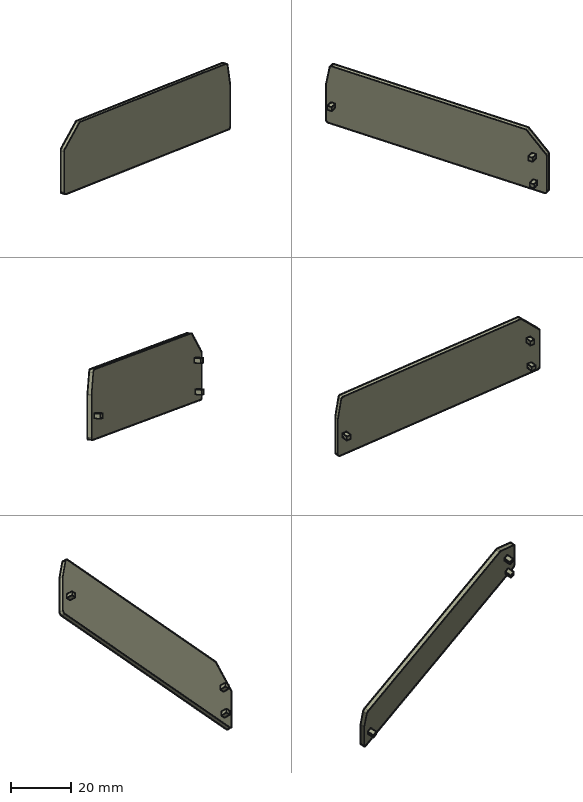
import cadquery as cq

overall_depth = 3.96
plate_thickness = 1.58
plate_length = 83.75
plate_height = 23.65
corner_radius = 1.0

front_chamfer = 7.8
back_taper_run = 1.5
back_taper_drop = 8.2

peg_side = 1.65
peg_length = overall_depth - plate_thickness
peg_centers = [
    (-37.0, 2.25),
    (-37.5, -8.45),
    (39.15, -3.8),
]

half_length = plate_length / 2
half_height = plate_height / 2
plate_face_x = overall_depth / 2 - plate_thickness


def make_plate():
    """Flat plate with two sloped upper corners and every corner rounded."""
    outline = [
        (-half_length, -half_height),
        (half_length, -half_height),
        (half_length, half_height - back_taper_drop),
        (half_length - back_taper_run, half_height),
        (-half_length + front_chamfer, half_height),
        (-half_length, half_height - front_chamfer),
    ]
    return (
        cq.Workplane("YZ", origin=(plate_face_x, 0, 0))
        .polyline(outline)
        .close()
        .extrude(plate_thickness)
        .edges("|X")
        .fillet(corner_radius)
    )


def make_pegs():
    """Square pegs reaching from the plate face toward -X."""
    return (
        cq.Workplane("YZ", origin=(plate_face_x, 0, 0))
        .pushPoints(peg_centers)
        .rect(peg_side, peg_side)
        .extrude(-peg_length)
    )


result = make_plate().union(make_pegs())